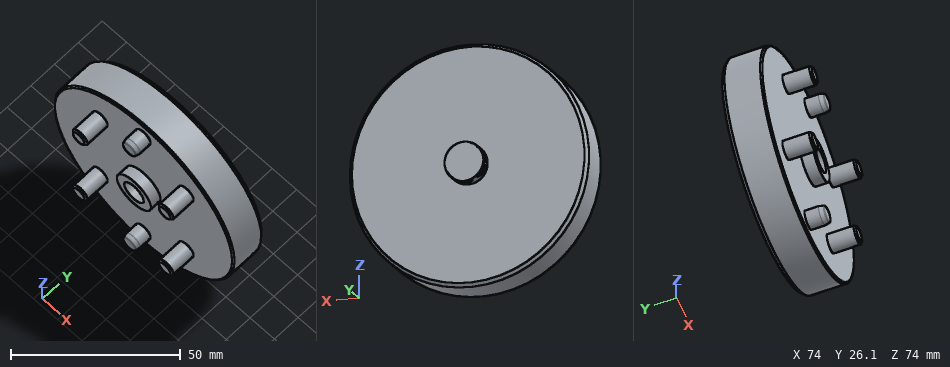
import cadquery as cq
import math

disc_radius = 37.0
disc_thickness = 12.95
front_chamfer = 0.5
back_chamfer_length = 1.2
back_chamfer_depth = 1.0

hub_radius = 14.0 / 2
hub_length = 4.0
bore_radius = 8.0 / 2
center_mark_radius = 3.5 / 2
drill_point_angle = 118.0

stud_radius = 12.0 / 2
stud_length = 4.1
cap_thickness = 1.4
notch_count = 3
notch_root_radius = 3.7
notch_rim_drop = 2.0
notch_first_angle = 60.0

pin_radius = 6.0 / 2
drive_pin_length = 9.1
drive_pin_chamfer = 0.6
drive_pin_count = 4
drive_pin_circle_radius = 25.0
drive_pin_first_angle = 45.0
guide_pin_straight_length = 4.45
guide_pin_taper_length = 1.55
guide_pin_taper_angle = 14.0
guide_pin_dome_height = 0.5
guide_pin_rim_fillet = 0.4
guide_pin_circle_radius = 30.05

cap_front = disc_thickness + stud_length - cap_thickness


def revolve_about_y(profile):
    """Turn a closed (radius, Y) profile around the Y axis."""
    return profile.close().revolve(360, (0, 0, 0), (0, 1, 0))


def cylinder_y(radius, y_start, y_end):
    return cq.Workplane("XZ", origin=(0, y_start, 0)).circle(radius).extrude(y_start - y_end)


def make_disc():
    profile = cq.Workplane("XY").polyline([
        (0, 0),
        (disc_radius - front_chamfer, 0),
        (disc_radius, front_chamfer),
        (disc_radius, disc_thickness - back_chamfer_length),
        (disc_radius - back_chamfer_depth, disc_thickness),
        (0, disc_thickness),
    ])
    return revolve_about_y(profile)


def make_bore():
    """Blind bore ending at the stud cap, with a conical centre mark in its floor."""
    mark_depth = center_mark_radius / math.tan(math.radians(drill_point_angle / 2))
    profile = cq.Workplane("XY").polyline([
        (0, -hub_length),
        (bore_radius, -hub_length),
        (bore_radius, cap_front),
        (center_mark_radius, cap_front),
        (0, cap_front + mark_depth),
    ])
    return revolve_about_y(profile)


def make_notch(angle):
    """Notch with a flat wall under the cap and a sloping floor, opening along +X before turning."""
    notch_depth = stud_radius - notch_root_radius
    outer = notch_root_radius + 2 * notch_depth
    notch = (
        cq.Workplane("XY")
        .polyline([
            (notch_root_radius, cap_front),
            (outer, cap_front),
            (outer, cap_front - 2 * notch_rim_drop),
        ])
        .close()
        .extrude(stud_radius, both=True)
    )
    return notch.rotate((0, 0, 0), (0, 1, 0), angle)


def make_stud():
    stud = cylinder_y(stud_radius, disc_thickness, disc_thickness + stud_length)
    for index in range(notch_count):
        stud = stud.cut(make_notch(notch_first_angle + index * 360 / notch_count))
    return stud


def make_drive_pin():
    pin = cylinder_y(pin_radius, 0, -drive_pin_length)
    return pin.faces("<Y").chamfer(drive_pin_chamfer)


def make_guide_pin():
    """Pin with a tapered tip that ends in a shallow dome with a softened rim."""
    taper_end = guide_pin_straight_length + guide_pin_taper_length
    pin_length = taper_end + guide_pin_dome_height
    rim_radius = pin_radius - guide_pin_taper_length * math.tan(math.radians(guide_pin_taper_angle))
    dome_radius = (rim_radius**2 + guide_pin_dome_height**2) / (2 * guide_pin_dome_height)
    middle_radius = rim_radius / 2
    middle_drop = dome_radius - math.sqrt(dome_radius**2 - middle_radius**2)
    profile = (
        cq.Workplane("XY")
        .lineTo(pin_radius, 0)
        .lineTo(pin_radius, -guide_pin_straight_length)
        .lineTo(rim_radius, -taper_end)
        .threePointArc((middle_radius, middle_drop - pin_length), (0, -pin_length))
    )
    smallest_circle = cq.selectors.RadiusNthSelector(0)
    pin = revolve_about_y(profile)
    return pin.edges("%CIRCLE").edges(smallest_circle).fillet(guide_pin_rim_fillet)


result = make_disc()
result = result.union(cylinder_y(hub_radius, 0, -hub_length))
result = result.union(make_stud())
result = result.cut(make_bore())

for index in range(drive_pin_count):
    pin_angle = math.radians(drive_pin_first_angle + index * 360 / drive_pin_count)
    pin_x = drive_pin_circle_radius * math.cos(pin_angle)
    pin_z = drive_pin_circle_radius * math.sin(pin_angle)
    result = result.union(make_drive_pin().translate((pin_x, 0, pin_z)))

for side in (1, -1):
    result = result.union(make_guide_pin().translate((0, 0, side * guide_pin_circle_radius)))